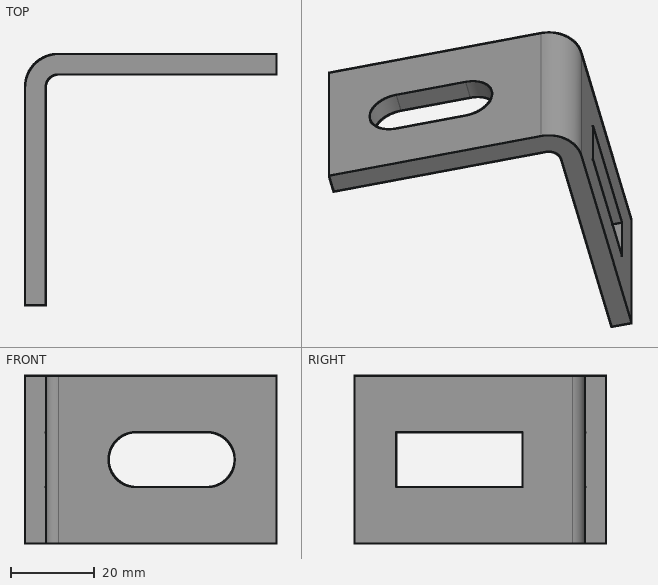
import cadquery as cq

leg_length = 60.0
height = 40.0
thickness = 5.0
inner_radius = 3.0
outer_radius = inner_radius + thickness

opening_length = 30.0
opening_height = 13.0
opening_offset = 20.0
opening_center = opening_offset + opening_length / 2
cut_depth = 2 * thickness


def bent_strip():
    """L-shaped strip with its outer corner at the XY origin, legs along +X and -Y."""
    blank = cq.Workplane("XY").polyline([
        (0, 0),
        (leg_length, 0),
        (leg_length, -thickness),
        (thickness, -thickness),
        (thickness, -leg_length),
        (0, -leg_length),
    ]).close().extrude(height)
    outer_bend = blank.edges("|Z").edges(cq.selectors.NearestToPointSelector((0, 0, height / 2)))
    blank = outer_bend.fillet(outer_radius)
    inner_corner = (thickness, -thickness, height / 2)
    inner_bend = blank.edges("|Z").edges(cq.selectors.NearestToPointSelector(inner_corner))
    return inner_bend.fillet(inner_radius)


def round_slot():
    """Round-ended slot through the leg along X."""
    return (
        cq.Workplane("XZ")
        .center(opening_center, height / 2)
        .slot2D(opening_length, opening_height)
        .extrude(cut_depth, both=True)
    )


def rectangular_window():
    """Sharp-cornered window through the leg along Y."""
    return (
        cq.Workplane("YZ")
        .center(-opening_center, height / 2)
        .rect(opening_length, opening_height)
        .extrude(cut_depth, both=True)
    )


result = bent_strip().cut(round_slot()).cut(rectangular_window())